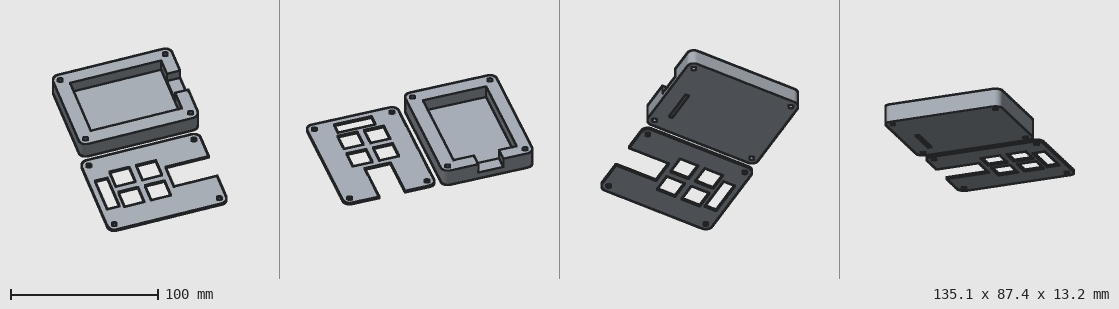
import cadquery as cq

BODY_WIDTH = 65.5
BODY_LENGTH = 85.1
CORNER_RADIUS = 5.0
SCREW_DIAMETER = 3.4
SCREW_INSET = CORNER_RADIUS

HOUSING_HEIGHT = 13.0
POCKET_WIDTH = 45.3
POCKET_LENGTH = 65.1
POCKET_LEFT = 9.6
POCKET_FRONT = 10.5
POCKET_DEPTH = 9.6
CABLE_SLOT_LEFT = 22.3
CABLE_SLOT_WIDTH = 18.0
CABLE_SLOT_DEPTH = 7.4

PAD_LEFT = 29.0
PAD_WIDTH = 23.6
PAD_LENGTH = 2.4
PAD_FRONT = 70.8
PAD_HEIGHT = 0.2

OVERALL_WIDTH = 135.1
PLATE_THICKNESS = 1.5
PLATE_X = OVERALL_WIDTH - BODY_WIDTH
PLATE_Y = -2.3
NOTCH_LEFT = 22.4
NOTCH_WIDTH = 18.5
NOTCH_LENGTH = 31.0
KEY_SIZE = 14.0
KEY_PITCH = 19.0
KEY_LEFT = 14.7
KEY_FRONT = 16.6
KEYS_PER_SIDE = 2
WINDOW_LEFT = 19.5
WINDOW_FRONT = 4.7
WINDOW_WIDTH = 26.9
WINDOW_LENGTH = 8.8


def block(left, front, bottom, width, length, height):
    """Box placed by its left, front, bottom corner."""
    return cq.Workplane("XY").box(width, length, height, centered=False).translate((left, front, bottom))


def rounded_slab(height):
    """Slab with rounded corners and a through screw hole at each corner."""
    slab = block(0, 0, 0, BODY_WIDTH, BODY_LENGTH, height).edges("|Z").fillet(CORNER_RADIUS)
    screw_centres = [
        (x, y)
        for x in (SCREW_INSET, BODY_WIDTH - SCREW_INSET)
        for y in (SCREW_INSET, BODY_LENGTH - SCREW_INSET)
    ]
    screw_holes = cq.Workplane("XY").pushPoints(screw_centres).circle(SCREW_DIAMETER / 2).extrude(height)
    return slab.cut(screw_holes)


def make_housing():
    """Open tray with a cable slot through its back wall and a raised pad underneath."""
    pocket = block(
        POCKET_LEFT, POCKET_FRONT, HOUSING_HEIGHT - POCKET_DEPTH,
        POCKET_WIDTH, POCKET_LENGTH, POCKET_DEPTH,
    )
    pocket_back = POCKET_FRONT + POCKET_LENGTH
    cable_slot = block(
        CABLE_SLOT_LEFT, pocket_back, HOUSING_HEIGHT - CABLE_SLOT_DEPTH,
        CABLE_SLOT_WIDTH, BODY_LENGTH - pocket_back, CABLE_SLOT_DEPTH,
    )
    pad = block(PAD_LEFT, PAD_FRONT, -PAD_HEIGHT, PAD_WIDTH, PAD_LENGTH, PAD_HEIGHT)
    return rounded_slab(HOUSING_HEIGHT).cut(pocket).cut(cable_slot).union(pad)


def make_cover_plate():
    """Flat plate with a back notch, a square grid of key openings and a front window."""
    plate = rounded_slab(PLATE_THICKNESS)
    notch_front = BODY_LENGTH - NOTCH_LENGTH
    plate = plate.cut(block(NOTCH_LEFT, notch_front, 0, NOTCH_WIDTH, NOTCH_LENGTH, PLATE_THICKNESS))
    for column in range(KEYS_PER_SIDE):
        for row in range(KEYS_PER_SIDE):
            key_left = KEY_LEFT + column * KEY_PITCH
            key_front = KEY_FRONT + row * KEY_PITCH
            plate = plate.cut(block(key_left, key_front, 0, KEY_SIZE, KEY_SIZE, PLATE_THICKNESS))
    plate = plate.cut(block(WINDOW_LEFT, WINDOW_FRONT, 0, WINDOW_WIDTH, WINDOW_LENGTH, PLATE_THICKNESS))
    return plate.translate((PLATE_X, PLATE_Y, 0))


housing = make_housing()
cover_plate = make_cover_plate()

result = cq.Compound.makeCompound([housing.val(), cover_plate.val()])